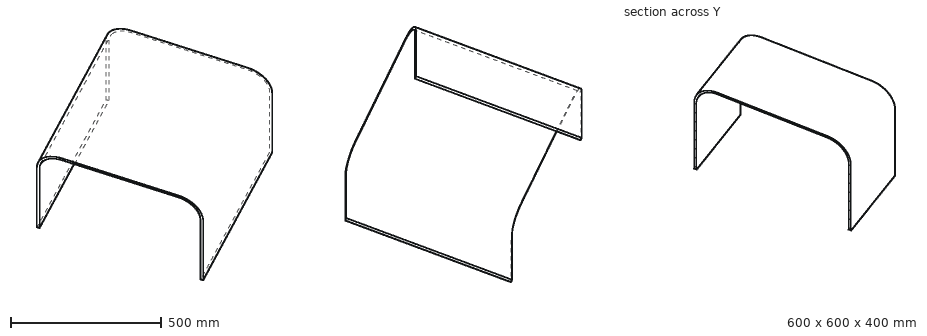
import cadquery as cq

width = 600.0
depth = 600.0
height = 400.0

thickness = 10.0
outer_radius = 90.0
inner_radius = outer_radius - thickness


def rounded_block(block_width, block_height, radius):
    """Block standing on Z = 0 with its two upper edges along Y rounded."""
    block = cq.Workplane("XY").box(block_width, depth, block_height, centered=(True, True, False))
    return block.edges("|Y and >Z").fillet(radius)


outer_block = rounded_block(width, height, outer_radius)
inner_block = rounded_block(width - 2 * thickness, height - thickness, inner_radius)
result = outer_block.cut(inner_block)